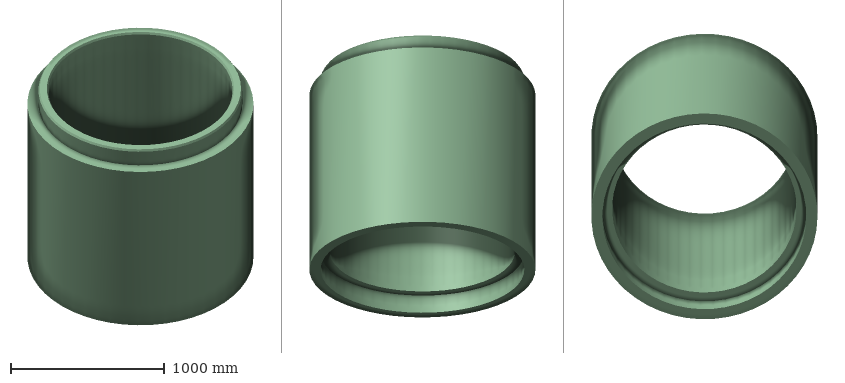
import cadquery as cq

outer_diameter = 1470.0
bore_diameter = 1200.0
total_height = 1375.0

spigot_diameter = 1326.0
joint_length = 123.0

bevel_width = 9.0
bevel_height = 13.0

outer_radius = outer_diameter / 2
bore_radius = bore_diameter / 2
spigot_radius = spigot_diameter / 2
shoulder_height = total_height - joint_length
bevel_start = total_height - bevel_height

wall_section = [
    (spigot_radius, 0),
    (outer_radius, 0),
    (outer_radius, shoulder_height),
    (spigot_radius, shoulder_height),
    (spigot_radius, bevel_start),
    (spigot_radius - bevel_width, total_height),
    (bore_radius + bevel_width, total_height),
    (bore_radius, bevel_start),
    (bore_radius, joint_length),
    (spigot_radius, joint_length),
]

result = cq.Workplane("XZ").polyline(wall_section).close().revolve(360, (0, 0, 0), (0, 1, 0))